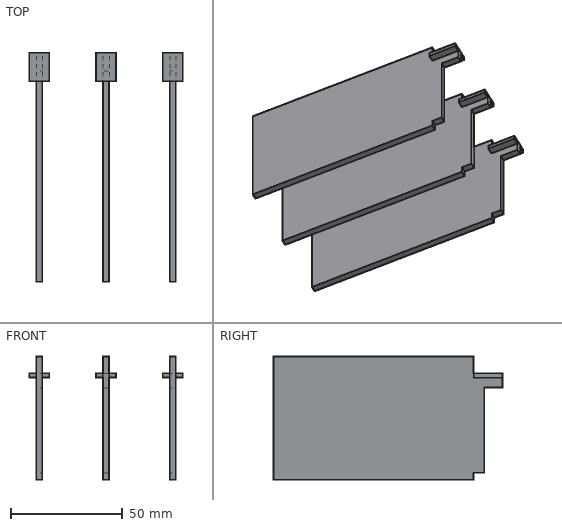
import cadquery as cq

panel_count = 3
panel_pitch = 30.0
panel_thickness = 2.8
panel_height = 55.5
total_length = 103.0

tab_width = 9.1
tab_length = 13.0
tab_thickness = 2.1
tab_drop = 7.5

arm_height = 6.5
arm_overhang = 8.2
foot_height = 3.2

main_length = total_length - tab_length
tab_top = panel_height - tab_drop
tab_bottom = tab_top - tab_thickness
arm_bottom = tab_top - arm_height
rear_edge = total_length - arm_overhang


def make_plate():
    """Flat plate in the YZ plane, centred on X = 0, with its stepped rear edge."""
    outline = [
        (0, 0),
        (main_length, 0),
        (main_length, foot_height),
        (rear_edge, foot_height),
        (rear_edge, arm_bottom),
        (total_length, arm_bottom),
        (total_length, tab_top),
        (main_length, tab_top),
        (main_length, panel_height),
        (0, panel_height),
    ]
    return cq.Workplane("YZ").polyline(outline).close().extrude(panel_thickness / 2, both=True)


def make_tab():
    """Tab lying flat on the arm, wider than the plate on both sides."""
    return (
        cq.Workplane("XY")
        .box(tab_width, tab_length, tab_thickness, centered=(True, False, False))
        .translate((0, main_length, tab_bottom))
    )


def make_panel(x):
    """One complete panel: plate and tab as a single solid."""
    return make_plate().union(make_tab()).translate((x, 0, 0))


panels = []
for index in range(panel_count):
    panel_x = (index - (panel_count - 1) / 2) * panel_pitch
    panels.append(make_panel(panel_x).val())

result = cq.Compound.makeCompound(panels)